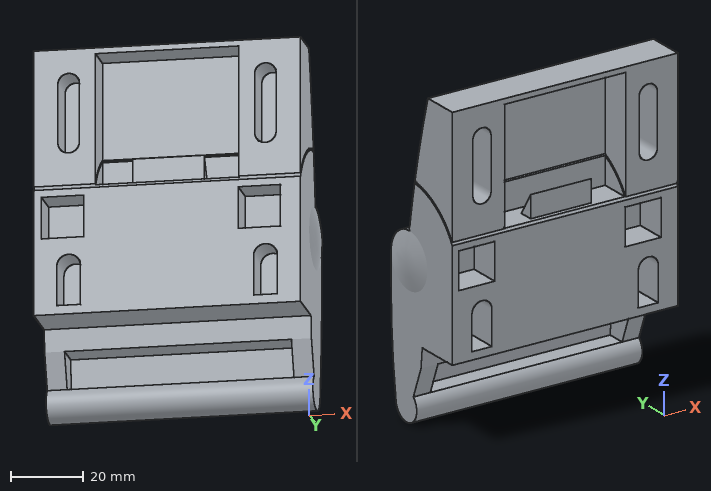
import cadquery as cq
import math

WIDTH = 75.2
HALF_WIDTH = WIDTH / 2
WIDTH_OVER_DOMES = 78.0
HEIGHT = 101.0
DEPTH = 30.3

BARREL_RADIUS = 9.0
HINGE_Y = DEPTH - BARREL_RADIUS
HINGE_Z = 49.0
DOME_RISE = (WIDTH_OVER_DOMES - WIDTH) / 2

SEAT_RADIUS = 24.4
GAP = 0.5
COVER_RADIUS = SEAT_RADIUS + GAP

TOP_DEPTH = 12.1
REAR_MID_Y = 18.6
REAR_MID_Z = 73.7

BASE_Z = 25.0
BASE_DEPTH = 14.8
KNEE_Y = 15.5
KNEE_Z = 18.7
BULB_RADIUS = 5.0
BULB_Y = 22.6
NECK_Z = 8.8
BACK_TANGENT_Z = 38.4
BACK_RADIUS = 237.4

RECESS_DEPTH = 10.2
WINDOW_WIDTH = 40.4
WINDOW_TOP = 99.3
WINDOW_FLOOR = 61.8
SLOT_PITCH = 55.4
UPPER_SLOT_WIDTH = 6.1
UPPER_SLOT_BOTTOM = 71.2
UPPER_SLOT_TOP = 94.0
LOWER_SLOT_WIDTH = 6.7
LOWER_SLOT_BOTTOM = 27.6
LOWER_SLOT_TOP = 42.1
SQUARE_SIZE = 11.9
SQUARE_BOTTOM = 47.0
SQUARE_SHIFT = -1.7

CATCH_WIDTH = 20.2
CATCH_TOP = 69.1
CATCH_FRONT_Y = 2.0
CATCH_LENGTH = 4.6

FINGER_WIDTH = 63.9
FINGER_ROOF_Y = 24.2

BUTTON_RADIUS = 10.2
BUTTON_TOP_RADIUS = 9.3
BUTTON_RISE = 1.0
BUTTON_Z = 39.8


def extrude_across(sketch, width):
    """Extrude a YZ outline symmetrically about X = 0."""
    return sketch.extrude(width / 2, both=True)


def cylinder_across(radius, y, z, width):
    return extrude_across(cq.Workplane("YZ").center(y, z).circle(radius), width)


def box(x_mid, width, y_start, y_end, z_bottom, z_top):
    corner = (x_mid - width / 2, y_start, z_bottom)
    size = (width, y_end - y_start, z_top - z_bottom)
    return cq.Workplane("XY").box(*size, centered=False).translate(corner)


def arch_recess(x_mid, width, z_bottom, z_top):
    """Recess with a flat bottom and a half-round top."""
    radius = width / 2
    return (
        cq.Workplane("XZ")
        .moveTo(x_mid - radius, z_bottom)
        .lineTo(x_mid + radius, z_bottom)
        .lineTo(x_mid + radius, z_top - radius)
        .threePointArc((x_mid, z_top), (x_mid - radius, z_top - radius))
        .close()
        .extrude(-RECESS_DEPTH)
    )


def slot_recess(x_mid, width, z_bottom, z_top):
    """Recess with two half-round ends."""
    return (
        cq.Workplane("XZ")
        .center(x_mid, (z_bottom + z_top) / 2)
        .slot2D(z_top - z_bottom, width, 90)
        .extrude(-RECESS_DEPTH)
    )


def window():
    return box(0, WINDOW_WIDTH, 0, RECESS_DEPTH, WINDOW_FLOOR, WINDOW_TOP)


def shank():
    """Full-width tapered block above the base, before the parting gap divides it."""
    outline = (
        cq.Workplane("YZ")
        .moveTo(0, BASE_Z)
        .lineTo(HINGE_Y, BASE_Z)
        .lineTo(HINGE_Y, HINGE_Z + BARREL_RADIUS)
        .threePointArc((REAR_MID_Y, REAR_MID_Z), (TOP_DEPTH, HEIGHT))
        .lineTo(0, HEIGHT)
        .close()
    )
    return extrude_across(outline, WIDTH)


def upper_plate():
    plate = shank().cut(box(0, WIDTH, 0, DEPTH, 0, HINGE_Z))
    plate = plate.cut(cylinder_across(COVER_RADIUS, HINGE_Y, HINGE_Z, WIDTH))
    plate = plate.cut(window())
    for x_mid in (-SLOT_PITCH / 2, SLOT_PITCH / 2):
        plate = plate.cut(slot_recess(x_mid, UPPER_SLOT_WIDTH, UPPER_SLOT_BOTTOM, UPPER_SLOT_TOP))
    return plate


def back_y(z):
    """Depth of the curved handle back at height z."""
    drop = BACK_TANGENT_Z - z
    return DEPTH - BACK_RADIUS + math.sqrt(BACK_RADIUS**2 - drop**2)


def handle():
    """Handle below the hinge: curved back, rounded tip and a knee on the front."""
    tip_z = BULB_RADIUS
    neck_y = BULB_Y - math.sqrt(BULB_RADIUS**2 - (NECK_Z - tip_z) ** 2)
    back_mid_z = (BACK_TANGENT_Z + tip_z) / 2
    outline = (
        cq.Workplane("YZ")
        .moveTo(HINGE_Y, HINGE_Z)
        .lineTo(DEPTH, HINGE_Z)
        .lineTo(DEPTH, BACK_TANGENT_Z)
        .threePointArc((back_y(back_mid_z), back_mid_z), (back_y(tip_z), tip_z))
        .threePointArc((BULB_Y, 0), (BULB_Y - BULB_RADIUS, tip_z))
        .lineTo(neck_y, NECK_Z)
        .lineTo(KNEE_Y, KNEE_Z)
        .lineTo(BASE_DEPTH, BASE_Z)
        .lineTo(BASE_DEPTH, HINGE_Z)
        .close()
    )
    bulb = cylinder_across(BULB_RADIUS, BULB_Y, tip_z, WIDTH)
    return extrude_across(outline, WIDTH).union(bulb)


def finger_recess():
    """Recess in the handle front; its flat rear wall is parallel to the lip above the knee."""
    lip_slope = (KNEE_Y - BASE_DEPTH) / (BASE_Z - KNEE_Z)
    floor_y = FINGER_ROOF_Y + lip_slope * (KNEE_Z - NECK_Z)
    outline = (
        cq.Workplane("YZ")
        .moveTo(BASE_DEPTH, NECK_Z)
        .lineTo(floor_y, NECK_Z)
        .lineTo(FINGER_ROOF_Y, KNEE_Z)
        .lineTo(BASE_DEPTH, KNEE_Z)
        .close()
    )
    return extrude_across(outline, FINGER_WIDTH)


def domed_barrel():
    """Hinge barrel, revolved in one piece with the spherical cap on each end."""
    sphere_radius = (BARREL_RADIUS**2 + DOME_RISE**2) / (2 * DOME_RISE)
    peak_x = HALF_WIDTH + DOME_RISE
    arc_angle = math.asin(BARREL_RADIUS / sphere_radius) / 2
    mid_radius = sphere_radius * math.sin(arc_angle)
    mid_x = peak_x - sphere_radius * (1 - math.cos(arc_angle))
    profile = (
        cq.Workplane("XY")
        .moveTo(-peak_x, 0)
        .threePointArc((-mid_x, mid_radius), (-HALF_WIDTH, BARREL_RADIUS))
        .lineTo(HALF_WIDTH, BARREL_RADIUS)
        .threePointArc((mid_x, mid_radius), (peak_x, 0))
        .close()
    )
    return profile.revolve(360, (0, 0), (1, 0)).translate((0, HINGE_Y, HINGE_Z))


def catch():
    outline = (
        cq.Workplane("YZ")
        .moveTo(CATCH_FRONT_Y, WINDOW_FLOOR)
        .lineTo(CATCH_FRONT_Y + CATCH_LENGTH, WINDOW_FLOOR)
        .lineTo(CATCH_FRONT_Y, CATCH_TOP)
        .close()
    )
    return extrude_across(outline, CATCH_WIDTH)


def button():
    """Tapered disc, rooted in the barrel so that its rim meets the curved back."""
    profile = (
        cq.Workplane("XY")
        .lineTo(BUTTON_RADIUS, 0)
        .lineTo(BUTTON_RADIUS, DEPTH - HINGE_Y)
        .lineTo(BUTTON_TOP_RADIUS, DEPTH + BUTTON_RISE - HINGE_Y)
        .lineTo(0, DEPTH + BUTTON_RISE - HINGE_Y)
        .close()
    )
    return profile.revolve(360, (0, 0), (0, 1)).translate((0, HINGE_Y, BUTTON_Z))


def lower_body():
    seat = cylinder_across(SEAT_RADIUS, HINGE_Y, HINGE_Z, WIDTH)
    base = box(0, WIDTH, 0, HINGE_Y, BASE_Z, HINGE_Z)
    body = shank().intersect(seat.union(base))
    body = body.union(domed_barrel())
    body = body.union(handle()).cut(finger_recess())
    body = body.union(button()).cut(window()).union(catch())
    square_top = SQUARE_BOTTOM + SQUARE_SIZE
    for side in (-1, 1):
        slot_x = side * SLOT_PITCH / 2
        body = body.cut(arch_recess(slot_x, LOWER_SLOT_WIDTH, LOWER_SLOT_BOTTOM, LOWER_SLOT_TOP))
        body = body.cut(
            box(slot_x + SQUARE_SHIFT, SQUARE_SIZE, 0, RECESS_DEPTH, SQUARE_BOTTOM, square_top)
        )
    return body


result = cq.Compound.makeCompound([upper_plate().val(), lower_body().val()])